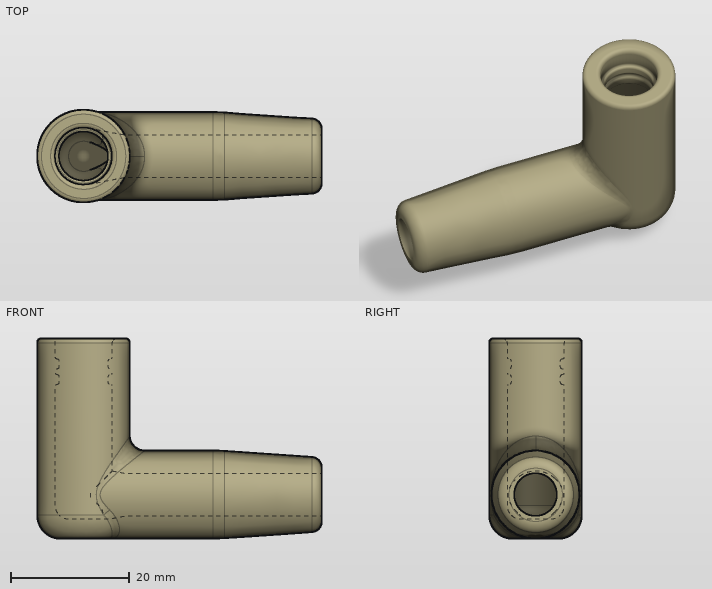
import cadquery as cq
import math

length = 48.25
height = 33.95
column_radius = 7.85
column_bottom_round = 4.05
column_top_round = 0.7

arm_radius = 7.5
arm_blend_start = 29.8
arm_blend_end = 31.75
tip_radius = 6.25
tip_round = 1.9
joint_fillet = 2.45

bottom_trim = 0.05

bore_radius = 4.85
mouth_round = 0.75
floor_radius = 2.55
floor_z = 3.4
wall = column_radius - bore_radius

lip_count = 2
lip_radius = 4.15
lip_height = 2.25
first_lip_depth = 3.15
lip_pitch = 2.65
lip_root_round = 0.3
lip_crest_round = bore_radius - lip_radius - lip_root_round

arm_bore_radius = 3.6
arm_entry_radius = 4.75
arm_entry_offset = 1.15
taper_length = 5.8

axis_x = column_radius
axis_z = arm_radius


def make_column():
    """Upright cylinder with a deeply rounded lower end, slightly overlong below."""
    column = (
        cq.Workplane("XY", origin=(axis_x, 0, -bottom_trim))
        .circle(column_radius)
        .extrude(height + bottom_trim)
    )
    return column.faces("<Z").edges().fillet(column_bottom_round + bottom_trim)


def make_arm():
    """Horizontal arm: cylinder, tangent blend, cone and rounded tip."""
    taper_start = (arm_blend_start + arm_blend_end) / 2
    taper_angle = math.atan2(arm_radius - tip_radius, length - taper_start)
    blend_drop = (arm_blend_end - taper_start) * math.tan(taper_angle)
    profile = (
        cq.Workplane("XZ", origin=(0, 0, axis_z))
        .moveTo(axis_x, 0)
        .lineTo(axis_x, arm_radius)
        .lineTo(arm_blend_start, arm_radius)
        .tangentArcPoint((arm_blend_end, arm_radius - blend_drop), relative=False)
        .lineTo(length, tip_radius)
        .lineTo(length, 0)
        .close()
    )
    arm = profile.revolve(360, (0, 0, 0), (1, 0, 0))
    return arm.faces(">X").edges().fillet(tip_round)


def make_body():
    """Column and arm joined by a fillet, with the top rim rounded."""
    body = make_column().union(make_arm())
    joint = [edge for edge in body.edges().vals() if edge.geomType() == "BSPLINE"]
    body = body.newObject(joint).fillet(joint_fillet)
    below = cq.Workplane("XY").box(
        2 * length, 2 * length, 2 * bottom_trim, centered=(True, True, False)
    )
    body = body.cut(below.translate((0, 0, -2 * bottom_trim)))
    return body.faces(">Z").edges().fillet(column_top_round)


def make_lip(depth):
    """Ring standing inward from the bore wall, with filleted roots and crests."""
    top = height - depth
    bottom = top - lip_height
    shoulder_radius = bore_radius - lip_root_round
    outer_radius = bore_radius + wall / 2
    profile = (
        cq.Workplane("XZ", origin=(axis_x, 0, 0))
        .moveTo(outer_radius, top)
        .lineTo(bore_radius, top)
        .radiusArc((shoulder_radius, top - lip_root_round), lip_root_round)
        .radiusArc((lip_radius, top - lip_root_round - lip_crest_round), -lip_crest_round)
        .lineTo(lip_radius, bottom + lip_root_round + lip_crest_round)
        .radiusArc((shoulder_radius, bottom + lip_root_round), -lip_crest_round)
        .radiusArc((bore_radius, bottom), lip_root_round)
        .lineTo(outer_radius, bottom)
        .close()
    )
    return profile.revolve(360, (0, 0, 0), (0, 1, 0))


def make_column_bore():
    """Blind bore with a rounded floor."""
    bore = (
        cq.Workplane("XY", origin=(axis_x, 0, floor_z))
        .circle(bore_radius)
        .extrude(height - floor_z)
    )
    return bore.faces("<Z").edges().fillet(bore_radius - floor_radius)


def make_arm_bore():
    """Tapered entry and straight passage, kept level with the bore floor."""
    entry_x = axis_x + arm_entry_offset
    taper_end = entry_x + taper_length
    profile = (
        cq.Workplane("XZ", origin=(0, 0, axis_z))
        .moveTo(entry_x, 0)
        .lineTo(entry_x, arm_entry_radius)
        .lineTo(taper_end, arm_bore_radius)
        .lineTo(length, arm_bore_radius)
        .lineTo(length, 0)
        .close()
    )
    bore = profile.revolve(360, (0, 0, 0), (1, 0, 0))
    above_floor = cq.Workplane("XY", origin=(0, 0, floor_z)).box(
        2 * length, 2 * column_radius, height, centered=(True, True, False)
    )
    return bore.intersect(above_floor)


result = make_body().cut(make_column_bore())
mouth_edge = cq.selectors.RadiusNthSelector(0)
result = result.faces(">Z").edges(mouth_edge).fillet(mouth_round)
result = result.cut(make_arm_bore())
for lip_index in range(lip_count):
    result = result.union(make_lip(first_lip_depth + lip_index * lip_pitch))